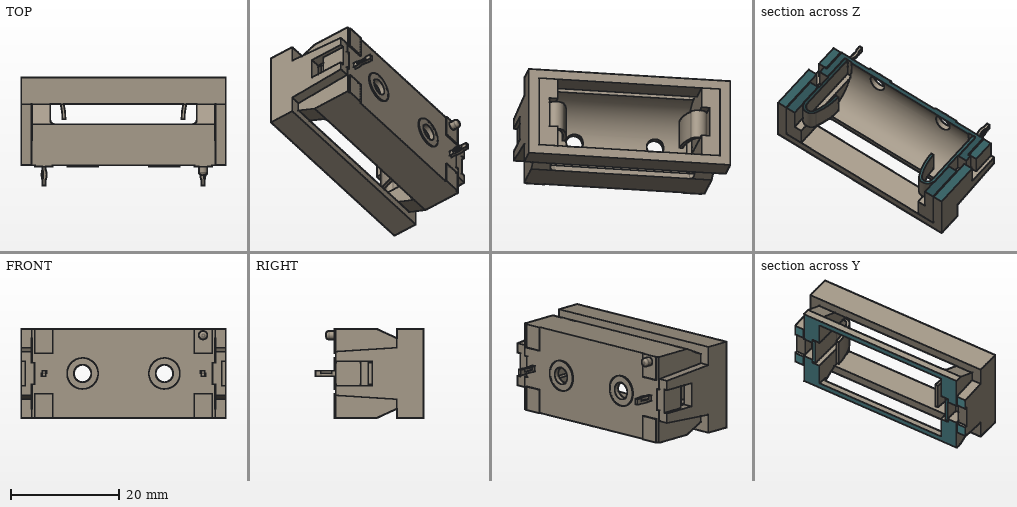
import cadquery as cq
import math


length = 37.85
height = 16.5
body_front = -16.3
pad_front = -16.55
terminal_tip = -20.05

frame_front = -4.95
arm_front = -16.25
frame_opening_height = 13.1
cover_gap = 0.08
arm_root_height = 9.55
arm_tip_height = 8.1
window_back = -9.55
bridge_back = -11.65
window_height = 4.45
bridge_recess = 0.72
latch_height = 4.0
latch_reach = 0.53

housing_length = 33.9
slope_front = -8.65
cavity_length = 27.02
cavity_radius = 7.25
cavity_axis_y = -8.3
slot_corner_radius = 0.75
latch_notch_depth = 0.55
latch_opening_back = -7.38
latch_opening_front = -10.25
pad_inner_x = 13.15
pad_length = 3.25
pad_height = 4.5
boss_x = 7.57
boss_radius = 2.88
hole_radius = 1.6
peg_x = 14.72
peg_z = 7.08
peg_radius = 0.8
peg_tip = -18.1
peg_rounding = 0.53

strip_thickness = 0.6
contact_height = 5.3
contact_slot_height = 5.53
leg_outer_x = 15.03
bend_outer_radius = 1.63
tongue_outer_radius = 12.8
tongue_inner_x = 10.7
tongue_tip_y = -7.8
terminal_height = 1.05
bulge_start = -17.0
bulge_end = -19.08
upper_bulge = 0.23
lower_bulge = 0.15

cover_inner_x = housing_length / 2 + cover_gap
slot_floor_y = cavity_axis_y - cavity_radius
leg_inner_x = leg_outer_x - strip_thickness


def block(x0, x1, y0, y1, z0, z1):
    """Box spanning the given limits."""
    return (
        cq.Workplane("XY")
        .box(x1 - x0, y1 - y0, z1 - z0, centered=False)
        .translate((x0, y0, z0))
    )


def middle_block(x0, x1, y0, y1, full_height):
    """Box centred on Z = 0."""
    return block(x0, x1, y0, y1, -full_height / 2, full_height / 2)


def yz_prism(points, x0, x1):
    """Prism with a (y, z) outline, running from x0 to x1."""
    return cq.Workplane("YZ", origin=(x0, 0, 0)).polyline(points).close().extrude(x1 - x0)


def mirrored(shape):
    """Copy of a shape on the other side of the YZ plane."""
    return shape.mirror("YZ")


def front_cylinder(x, z, radius, y_back, y_front):
    """Cylinder along Y between two Y positions."""
    return (
        cq.Workplane("XZ", origin=(x, y_back, z))
        .circle(radius)
        .extrude(y_back - y_front)
    )


def make_arm():
    """Tapered snap arm on the +X side, with its latch window, bridge and latch."""
    root = arm_root_height / 2
    tip = arm_tip_height / 2
    outline = [(frame_front, -root), (frame_front, root), (arm_front, tip), (arm_front, -tip)]
    outer_x = length / 2
    arm = yz_prism(outline, cover_inner_x, outer_x)
    window = middle_block(cover_inner_x, outer_x, bridge_back, window_back, window_height)
    recess = middle_block(outer_x - bridge_recess, outer_x, arm_front, bridge_back, window_height)
    latch = middle_block(cover_inner_x - latch_reach, cover_inner_x, arm_front, bridge_back, latch_height)
    return arm.cut(window).cut(recess).union(latch)


def make_cover():
    frame = middle_block(-length / 2, length / 2, frame_front, 0, height)
    opening = middle_block(-cover_inner_x, cover_inner_x, frame_front, 0, frame_opening_height)
    arm = make_arm()
    return frame.cut(opening).union(arm).union(mirrored(arm))


def make_housing_body():
    """Block whose back is narrowed to fit inside the cover frame."""
    low = frame_opening_height / 2
    high = height / 2
    outline = [
        (0, -low),
        (0, low),
        (frame_front, low),
        (slope_front, high),
        (body_front, high),
        (body_front, -high),
        (slope_front, -high),
        (frame_front, -low),
    ]
    return yz_prism(outline, -housing_length / 2, housing_length / 2)


def make_cavity():
    """Cylindrical battery bed, opened to the back, top and bottom by a round-cornered slot."""
    bed = (
        cq.Workplane("YZ", origin=(-cavity_length / 2, cavity_axis_y, 0))
        .circle(cavity_radius)
        .extrude(cavity_length)
    )
    slot = middle_block(-cavity_length / 2, cavity_length / 2, slope_front, 0, height)
    return bed.union(slot.edges("|Z and <Y").fillet(slot_corner_radius))


def make_side_cuts():
    """Contact slot, terminal hole, latch notch and latch opening of the +X end."""
    side_x = housing_length / 2
    slot = middle_block(cavity_length / 2, leg_outer_x, slot_floor_y, 0, contact_slot_height)
    terminal_hole = middle_block(leg_inner_x, leg_outer_x, body_front, slot_floor_y, terminal_height)
    notch = middle_block(side_x - latch_notch_depth, side_x, body_front, bridge_back, latch_height)
    opening = middle_block(leg_outer_x, side_x, latch_opening_front, latch_opening_back, latch_height)
    return slot.union(terminal_hole).union(notch).union(opening)


def make_peg():
    peg = front_cylinder(peg_x, peg_z, peg_radius, body_front, peg_tip)
    return peg.faces("<Y").edges().fillet(peg_rounding)


def make_pads():
    """Four rectangular standoff pads at the corners of the front face."""
    pad = middle_block(pad_inner_x, pad_inner_x + pad_length, pad_front, body_front, pad_height)
    upper = pad.translate((0, 0, (height - pad_height) / 2))
    right_pair = upper.union(upper.mirror("XY"))
    return right_pair.union(mirrored(right_pair))


def make_housing():
    cuts = make_side_cuts()
    housing = make_housing_body().cut(make_cavity()).cut(cuts).cut(mirrored(cuts))
    for x in (-boss_x, boss_x):
        housing = housing.union(front_cylinder(x, 0, boss_radius, body_front, pad_front))
        housing = housing.cut(front_cylinder(x, 0, hole_radius, cavity_axis_y, pad_front))
    return housing.union(make_pads()).union(make_peg())


def make_spring():
    """Leg, U-bend and curved tongue, as one strip of constant thickness."""
    bend_x = leg_outer_x - bend_outer_radius
    tongue_x = tongue_inner_x + tongue_outer_radius
    centre_distance = tongue_outer_radius - bend_outer_radius
    join_angle = math.acos((tongue_x - bend_x) / centre_distance)
    bend_y = tongue_tip_y + centre_distance * math.sin(join_angle)
    top_angle = (math.pi - join_angle) / 2

    def bend_point(radius, angle):
        return (bend_x + radius * math.cos(angle), bend_y + radius * math.sin(angle))

    def tongue_point(radius, angle):
        return (tongue_x - radius * math.cos(angle), tongue_tip_y + radius * math.sin(angle))

    bend_inner_radius = bend_outer_radius - strip_thickness
    tongue_inner_radius = tongue_outer_radius - strip_thickness
    join = math.pi - join_angle
    return (
        cq.Workplane("XY", origin=(0, 0, -contact_height / 2))
        .moveTo(leg_outer_x, slot_floor_y)
        .lineTo(leg_outer_x, bend_y)
        .threePointArc(bend_point(bend_outer_radius, top_angle), bend_point(bend_outer_radius, join))
        .threePointArc(
            tongue_point(tongue_outer_radius, join_angle / 2), tongue_point(tongue_outer_radius, 0)
        )
        .lineTo(*tongue_point(tongue_inner_radius, 0))
        .threePointArc(
            tongue_point(tongue_inner_radius, join_angle / 2), bend_point(bend_inner_radius, join)
        )
        .threePointArc(bend_point(bend_inner_radius, top_angle), (leg_inner_x, bend_y))
        .lineTo(leg_inner_x, slot_floor_y)
        .close()
        .extrude(contact_height)
    )


def make_terminal_half(bulge, z_bottom):
    """Half-height terminal strip that bows sideways by the given amount."""
    bulge_y = (bulge_start + bulge_end) / 2
    return (
        cq.Workplane("XY", origin=(0, 0, z_bottom))
        .moveTo(leg_outer_x, slot_floor_y)
        .lineTo(leg_outer_x, bulge_start)
        .threePointArc((leg_outer_x + bulge, bulge_y), (leg_outer_x, bulge_end))
        .lineTo(leg_outer_x, terminal_tip)
        .lineTo(leg_inner_x, terminal_tip)
        .lineTo(leg_inner_x, bulge_end)
        .threePointArc((leg_inner_x + bulge, bulge_y), (leg_inner_x, bulge_start))
        .lineTo(leg_inner_x, slot_floor_y)
        .close()
        .extrude(terminal_height / 2)
    )


def make_contact():
    """Contact of the +X end; the two terminal halves bow apart to grip a board hole."""
    upper = make_terminal_half(-upper_bulge, 0)
    lower = make_terminal_half(lower_bulge, -terminal_height / 2)
    return make_spring().union(upper).union(lower)


cover = make_cover()
housing = make_housing()
right_contact = make_contact()
contacts = [right_contact, mirrored(right_contact)]

result = cq.Compound.makeCompound(
    [cover.val(), housing.val(), *[contact.val() for contact in contacts]]
)